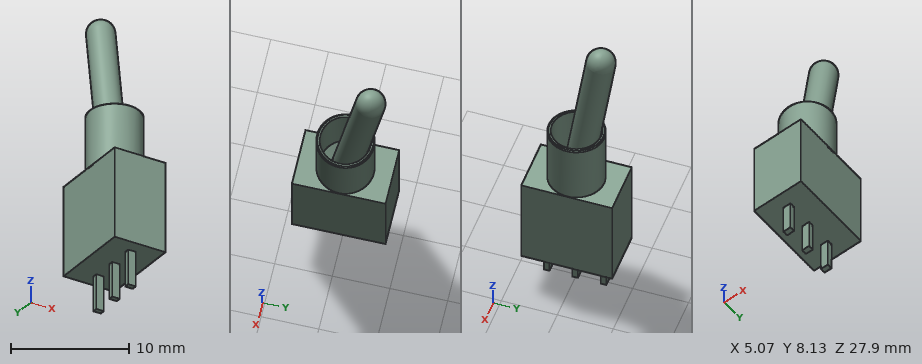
import cadquery as cq
import math

total_height = 27.85

case_width = 5.07
case_depth = 8.13
case_height = 8.63
bushing_diameter = 4.95
bushing_height = 5.6
bushing_chamfer = 0.1
mouth_diameter = 4.35
mouth_floor_slope = 31

terminal_count = 3
terminal_pitch = 2.53
terminal_width = 0.75
terminal_thickness = 0.5
terminal_length = 3.35

lever_diameter = 2.53
lever_lean = 8.5
lever_radius = lever_diameter / 2
lever_rise = total_height - terminal_length - case_height - lever_radius
lever_span = lever_rise / math.cos(math.radians(lever_lean))


def make_lever():
    """Rod with a hemisphere at each end, its lower end centred on the pivot."""
    upright = (
        cq.Workplane("XZ")
        .moveTo(0, -lever_radius)
        .radiusArc((lever_radius, 0), -lever_radius)
        .lineTo(lever_radius, lever_span)
        .radiusArc((0, lever_span + lever_radius), -lever_radius)
        .close()
        .revolve(360, (0, 0, 0), (0, 1, 0))
    )
    leaning = upright.rotate((0, 0, 0), (1, 0, 0), -lever_lean)
    return leaning.translate((0, 0, case_height))


def make_housing(lever):
    """Case and bushing, with a round mouth whose conical floor leads to a seat matching the lever."""
    case = cq.Workplane("XY").box(case_width, case_depth, case_height, centered=(True, True, False))
    bushing = (
        cq.Workplane("XY", origin=(0, 0, case_height))
        .circle(bushing_diameter / 2)
        .extrude(bushing_height)
        .faces(">Z")
        .edges()
        .chamfer(bushing_chamfer)
    )
    mouth_radius = mouth_diameter / 2
    floor_rise = (mouth_radius - lever_radius) * math.tan(math.radians(mouth_floor_slope))
    mouth = (
        cq.Workplane("XZ", origin=(0, 0, case_height))
        .lineTo(lever_radius, 0)
        .lineTo(mouth_radius, floor_rise)
        .lineTo(mouth_radius, bushing_height)
        .lineTo(0, bushing_height)
        .close()
        .revolve(360, (0, 0, 0), (0, 1, 0))
    )
    return case.union(bushing).cut(mouth).cut(lever).solids()


def make_terminal(y):
    """Straight rectangular pin hanging from the underside of the case."""
    return (
        cq.Workplane("XY", origin=(0, y, -terminal_length))
        .rect(terminal_width, terminal_thickness)
        .extrude(terminal_length)
    )


lever = make_lever()
housing = make_housing(lever)
terminals = []
for index in range(terminal_count):
    terminal_y = (index - (terminal_count - 1) / 2) * terminal_pitch
    terminals.append(make_terminal(terminal_y).val())

result = cq.Compound.makeCompound([housing.val(), lever.val(), *terminals])